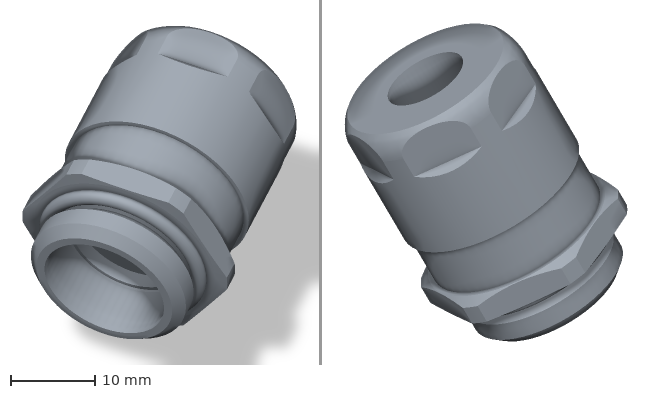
import cadquery as cq
import math

spigot_chamfer_end = 1.25
spigot_rim_end = 3.6
neck_start = 4.73
hex_front = 6.15
hex_back = 9.47
cap_front = 16.15
flat_start = 27.27
dome_start = 30.05
length = 33.1

spigot_mouth_diameter = 17.48
spigot_diameter = 20.0
neck_diameter = 17.87
ring_outer_diameter = 21.45
ring_front = 4.8
body_diameter = 22.4

hex_across_flats = 23.9
hex_corner_diameter = 26.38
hex_front_face_diameter = 23.37
hex_back_face_diameter = 23.7
hex_front_bevel = 0.15
hex_back_bevel = 0.75

cap_diameter = 23.7
dome_radius = 4.0
flat_distance = 10.95
side_count = 6

mouth_bore_diameter = 15.4
mouth_bore_depth = 6.7
lip_diameter = 15.2
lip_depth = 6.95
inner_bore_diameter = 14.25
inner_bore_depth = 8.8
through_diameter = 10.1


def revolve_profile(profile):
    """Turn a closed radius-Y profile around the Y axis."""
    return profile.close().revolve(360, (0, 0, 0), (0, 1, 0))


def cylinder(diameter, start, end):
    """Cylinder on the Y axis between two positions."""
    sketch = cq.Workplane("XZ", origin=(0, start, 0)).circle(diameter / 2)
    return sketch.extrude(start - end)


def make_spigot():
    profile = (
        cq.Workplane("XY")
        .moveTo(0, 0)
        .lineTo(spigot_mouth_diameter / 2, 0)
        .lineTo(spigot_diameter / 2, spigot_chamfer_end)
        .lineTo(spigot_diameter / 2, spigot_rim_end)
        .lineTo(neck_diameter / 2, neck_start)
        .lineTo(neck_diameter / 2, hex_front)
        .lineTo(0, hex_front)
    )
    return revolve_profile(profile)


def make_sealing_ring():
    """O-ring on the neck, partly sunk into the collar."""
    section_radius = (ring_outer_diameter - neck_diameter) / 4
    center_radius = ring_outer_diameter / 2 - section_radius
    section = cq.Workplane("XY").center(center_radius, ring_front + section_radius).circle(section_radius)
    return section.revolve(360, (-center_radius, 0, 0), (-center_radius, 1, 0))


def make_hex_collar():
    """Hexagon with its corners turned down and bevelled on both faces."""
    across_corners = hex_across_flats / math.cos(math.pi / side_count)
    prism = (
        cq.Workplane("XZ", origin=(0, hex_front, 0))
        .polygon(side_count, across_corners)
        .extrude(hex_front - hex_back)
    )
    turned_profile = (
        cq.Workplane("XY")
        .moveTo(0, hex_front)
        .lineTo(hex_front_face_diameter / 2, hex_front)
        .lineTo(hex_corner_diameter / 2, hex_front + hex_front_bevel)
        .lineTo(hex_corner_diameter / 2, hex_back - hex_back_bevel)
        .lineTo(hex_back_face_diameter / 2, hex_back)
        .lineTo(0, hex_back)
    )
    return prism.intersect(revolve_profile(turned_profile))


def make_cap():
    cap_radius = cap_diameter / 2
    arc_center = cap_radius - dome_radius

    def dome_point(angle):
        x = arc_center + dome_radius * math.cos(angle)
        return x, dome_start + dome_radius * math.sin(angle)

    end_angle = math.asin((length - dome_start) / dome_radius)
    profile = (
        cq.Workplane("XY")
        .moveTo(0, cap_front)
        .lineTo(cap_radius, cap_front)
        .lineTo(cap_radius, dome_start)
        .threePointArc(dome_point(end_angle / 2), dome_point(end_angle))
        .lineTo(0, length)
    )
    cap = revolve_profile(profile)
    cutter = make_flat_cutter()
    for index in range(side_count):
        cap = cap.cut(cutter.rotate((0, 0, 0), (0, 1, 0), index * 360 / side_count))
    return cap


def make_flat_cutter():
    """Wedge leaving one wrench flat that runs out at 45 degrees."""
    runout = cap_diameter / 2
    profile = (
        cq.Workplane("YZ")
        .moveTo(flat_start, flat_distance)
        .lineTo(length, flat_distance)
        .lineTo(length, flat_distance + runout)
        .lineTo(flat_start - runout, flat_distance + runout)
        .close()
    )
    return profile.extrude(cap_diameter / 2, both=True)


def make_bore():
    """Stepped bore with a short taper at the end of the wide mouth."""
    profile = (
        cq.Workplane("XY")
        .moveTo(0, 0)
        .lineTo(mouth_bore_diameter / 2, 0)
        .lineTo(mouth_bore_diameter / 2, mouth_bore_depth)
        .lineTo(lip_diameter / 2, lip_depth)
        .lineTo(inner_bore_diameter / 2, lip_depth)
        .lineTo(inner_bore_diameter / 2, inner_bore_depth)
        .lineTo(through_diameter / 2, inner_bore_depth)
        .lineTo(through_diameter / 2, length)
        .lineTo(0, length)
    )
    return revolve_profile(profile)


body = cylinder(body_diameter, hex_back, cap_front)
outside = make_spigot().union(make_sealing_ring()).union(make_hex_collar()).union(body).union(make_cap())
result = outside.cut(make_bore())